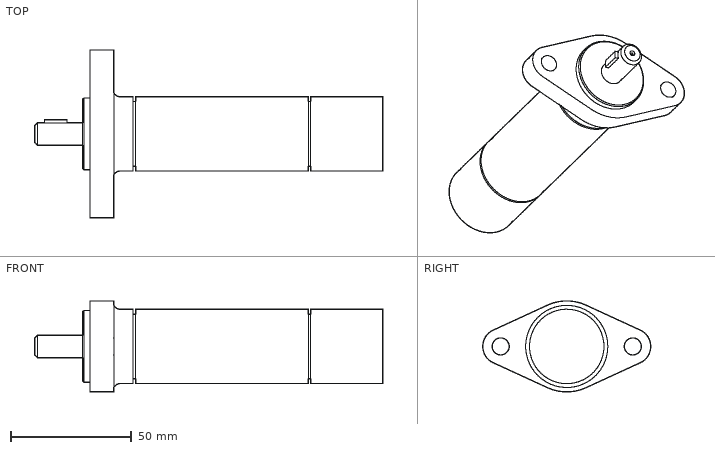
import cadquery as cq
import math


SHAFT_DIAMETER = 9.5
SHAFT_CHAMFER = 1.2
CENTRE_HOLE_DIAMETER = 1.0
CENTRE_HOLE_DEPTH = 3.0
CENTRE_MOUTH_DIAMETER = 2.2

KEY_START = 4.0
KEY_LENGTH = 9.5
KEY_WIDTH = 3.0
KEY_TOP = 6.0

PILOT_DIAMETER = 30.0
PILOT_CHAMFER = 0.5
PILOT_START = 20.0
PILOT_LENGTH = 3.0

FLANGE_START = PILOT_START + PILOT_LENGTH
FLANGE_THICKNESS = 10.0
FLANGE_END = FLANGE_START + FLANGE_THICKNESS
FLANGE_CENTRE_RADIUS = 19.0
FLANGE_EAR_RADIUS = 7.5
MOUNTING_HOLE_SPACING = 55.0
MOUNTING_HOLE_DIAMETER = 7.0

BODY_DIAMETER = 31.0
BODY_END = 144.9
NECK_RADIUS = 3.0
NECK_HEIGHT = 1.6
GROOVE_DIAMETER = 27.0
GROOVE_WIDTH = 1.0
GROOVE_STARTS = (41.0, 113.9)


def axial_cylinder(start, end, diameter):
    """Cylinder on the X axis between two stations."""
    return cq.Workplane("YZ", origin=(start, 0, 0)).circle(diameter / 2).extrude(end - start)


def make_shaft():
    shaft = axial_cylinder(0, FLANGE_START, SHAFT_DIAMETER)
    return shaft.faces("<X").chamfer(SHAFT_CHAMFER)


def make_centre_hole():
    """Drilled hole in the shaft end with a 45 degree countersunk mouth."""
    hole_radius = CENTRE_HOLE_DIAMETER / 2
    mouth_radius = CENTRE_MOUTH_DIAMETER / 2
    profile = (
        cq.Workplane("XY")
        .lineTo(0, mouth_radius)
        .lineTo(mouth_radius - hole_radius, hole_radius)
        .lineTo(CENTRE_HOLE_DEPTH, hole_radius)
        .lineTo(CENTRE_HOLE_DEPTH, 0)
        .close()
    )
    return profile.revolve(360, (0, 0, 0), (1, 0, 0))


def make_key():
    """Square-ended parallel key, seated from the shaft axis outwards."""
    return cq.Workplane("XY", origin=(KEY_START, 0, 0)).box(
        KEY_LENGTH, KEY_TOP, KEY_WIDTH, centered=(False, False, True)
    )


def make_pilot():
    pilot = axial_cylinder(PILOT_START, FLANGE_START, PILOT_DIAMETER)
    return pilot.faces("<X").chamfer(PILOT_CHAMFER)


def make_flange():
    """Oval flange: a large centre arc joined to two ear arcs by tangent lines."""
    ear_offset = MOUNTING_HOLE_SPACING / 2
    tilt = math.asin((FLANGE_CENTRE_RADIUS - FLANGE_EAR_RADIUS) / ear_offset)
    centre_y = FLANGE_CENTRE_RADIUS * math.sin(tilt)
    centre_z = FLANGE_CENTRE_RADIUS * math.cos(tilt)
    ear_y = ear_offset + FLANGE_EAR_RADIUS * math.sin(tilt)
    ear_z = FLANGE_EAR_RADIUS * math.cos(tilt)
    ear_tip = ear_offset + FLANGE_EAR_RADIUS

    outline = (
        cq.Workplane("YZ", origin=(FLANGE_START, 0, 0))
        .moveTo(-centre_y, centre_z)
        .threePointArc((0, FLANGE_CENTRE_RADIUS), (centre_y, centre_z))
        .lineTo(ear_y, ear_z)
        .threePointArc((ear_tip, 0), (ear_y, -ear_z))
        .lineTo(centre_y, -centre_z)
        .threePointArc((0, -FLANGE_CENTRE_RADIUS), (-centre_y, -centre_z))
        .lineTo(-ear_y, -ear_z)
        .threePointArc((-ear_tip, 0), (-ear_y, ear_z))
        .close()
    )
    flange = outline.extrude(FLANGE_THICKNESS)
    return (
        flange.faces("<X").workplane(centerOption="ProjectedOrigin")
        .pushPoints([(-ear_offset, 0), (ear_offset, 0)])
        .hole(MOUNTING_HOLE_DIAMETER)
    )


def make_neck():
    """Concave flare from the body up to the rear face of the flange."""
    body_radius = BODY_DIAMETER / 2
    arc_centre_height = body_radius + NECK_RADIUS
    flare_angle = math.acos((NECK_RADIUS - NECK_HEIGHT) / NECK_RADIUS)
    neck_end = FLANGE_END + NECK_RADIUS * math.sin(flare_angle)
    arc_middle = (
        neck_end - NECK_RADIUS * math.sin(flare_angle / 2),
        arc_centre_height - NECK_RADIUS * math.cos(flare_angle / 2),
    )
    profile = (
        cq.Workplane("XY")
        .moveTo(FLANGE_END, 0)
        .lineTo(FLANGE_END, body_radius + NECK_HEIGHT)
        .threePointArc(arc_middle, (neck_end, body_radius))
        .lineTo(neck_end, 0)
        .close()
    )
    return profile.revolve(360, (0, 0, 0), (1, 0, 0))


def make_body():
    """Long cylinder with two shallow ring grooves."""
    body = axial_cylinder(FLANGE_END, BODY_END, BODY_DIAMETER)
    for start in GROOVE_STARTS:
        end = start + GROOVE_WIDTH
        core = axial_cylinder(start, end, GROOVE_DIAMETER)
        ring = axial_cylinder(start, end, BODY_DIAMETER).cut(core)
        body = body.cut(ring)
    return body


result = (
    make_shaft()
    .union(make_key())
    .cut(make_centre_hole())
    .union(make_pilot())
    .union(make_flange())
    .union(make_body())
    .union(make_neck())
)